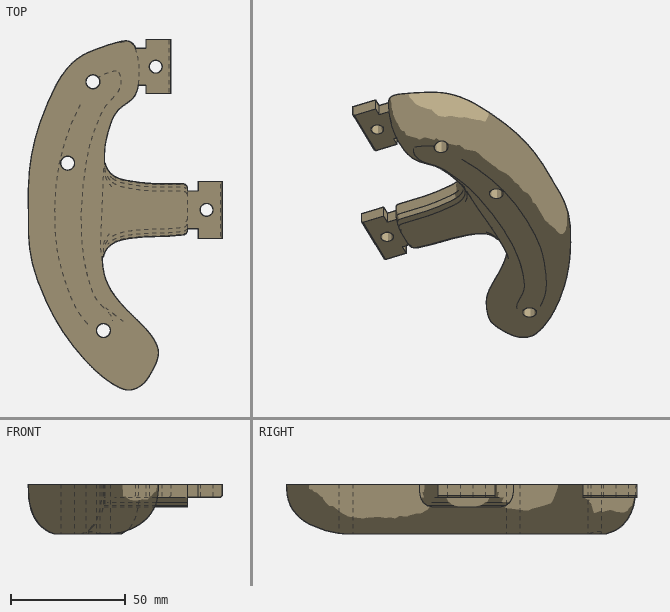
import cadquery as cq
import math

body_depth = 21.7
stem_depth = 9.8
tab_depth = 5.7

hull_power = 2.5
floor_scale = 0.35
hull_levels = 6
keel_center = (70.5, 0.0)
keel_radius = 95.0
keel_north_angle = math.radians(36)
keel_south_angle = math.radians(24)

crescent_outline = [
    (4.6, 72.7), (5.8, 56.5), (4.0, 51.6), (-3.0, 45.6), (-6.9, 37.8),
    (-8.9, 28.6), (-8.9, 19.9), (-9.5, 0.0), (-10.0, -19.9), (-8.9, -26.8),
    (-5.4, -34.1), (4.5, -45.2), (12.5, -54.4), (14.5, -59.7), (12.3, -67.4),
    (6.7, -74.7), (1.5, -76.5), (-4.0, -74.7), (-17.3, -63.7), (-28.6, -48.8),
    (-36.1, -34.1), (-41.2, -18.4), (-42.4, 0.0), (-41.8, 19.9), (-38.6, 36.0),
    (-33.0, 50.7), (-27.0, 61.9), (-19.3, 69.2), (-11.5, 72.7), (-2.8, 75.5), (2.3, 75.5),
]

stem_root_x = -19.9
stem_end_x = 27.3
stem_north_flank = [(-8.7, 22.5), (-4.5, 16.7), (1.7, 14.9), (12.7, 13.6), (25.0, 13.6)]
stem_south_flank = [(16.3, -8.9), (10.0, -9.6), (1.7, -10.4), (-5.8, -12.9), (-9.5, -18.4)]
stem_corner_radius = 2.3
stem_round_height = 6.5
stem_round_width = 5.4
stem_round_levels = 4

neck_overlap = 6.1
tab_chamfer = 0.8
tab_hole_diameter = 5.5
middle_tab = dict(neck_x=27.3, head_x=(31.9, 42.4), neck_y=(-6.1, 10.4), head_y=(-10.4, 14.5), hole=(35.5, 2.1))
north_tab = dict(neck_x=4.6, head_x=(9.0, 19.9), neck_y=(56.5, 72.7), head_y=(52.8, 76.5), hole=(13.3, 64.6))

body_hole_diameter = 6.0
body_holes = [(-14.1, 58.0), (-25.1, 22.5), (-9.5, -50.5)]


def nearest_keel_point(x, y):
    """Point of the keel arc that is closest in direction to (x, y)."""
    angle = math.atan2(y - keel_center[1], keel_center[0] - x)
    angle = max(-keel_south_angle, min(keel_north_angle, angle))
    return (
        keel_center[0] - keel_radius * math.cos(angle),
        keel_center[1] + keel_radius * math.sin(angle),
    )


def hull_section(scale):
    """Crescent outline drawn toward the keel by the given scale."""
    section = []
    for x, y in crescent_outline:
        keel_x, keel_y = nearest_keel_point(x, y)
        section.append((keel_x + scale * (x - keel_x), keel_y + scale * (y - keel_y)))
    return section


def make_crescent():
    """Loft of shrinking sections whose sides follow a superellipse."""
    wires = []
    floor_angle = math.acos(floor_scale ** (hull_power / 2))
    full_depth = body_depth / math.sin(floor_angle) ** (2 / hull_power)
    for level in range(hull_levels):
        angle = floor_angle * level / (hull_levels - 1)
        scale = math.cos(angle) ** (2 / hull_power)
        depth = full_depth * math.sin(angle) ** (2 / hull_power)
        sketch = cq.Workplane("XY", origin=(0, 0, -depth)).spline(hull_section(scale), periodic=True).close()
        wires.append(sketch.val())
    return cq.Workplane(obj=cq.Solid.makeLoft(wires))


def stem_section(depth, inset):
    """Horizontal stem section with both flanks moved inward by the inset."""
    north = [(x, y - inset) for x, y in stem_north_flank]
    south = [(x, y + inset) for x, y in stem_south_flank]
    north_y = north[-1][1]
    south_y = south[0][1]
    corner_x = stem_end_x - stem_corner_radius
    arc_mid_offset = stem_corner_radius * (1 - math.sqrt(0.5))
    arc_mid_x = stem_end_x - arc_mid_offset
    return (
        cq.Workplane("XY", origin=(0, 0, -depth))
        .moveTo(stem_root_x, north[0][1])
        .lineTo(*north[0])
        .spline(north[1:], includeCurrent=True)
        .threePointArc((arc_mid_x, north_y - arc_mid_offset), (stem_end_x, north_y - stem_corner_radius))
        .lineTo(stem_end_x, south_y + stem_corner_radius)
        .threePointArc((arc_mid_x, south_y + arc_mid_offset), (corner_x, south_y))
        .spline(south[1:], includeCurrent=True)
        .lineTo(stem_root_x, south[-1][1])
        .close()
        .val()
    )


def make_stem():
    """Arm with flared root and rounded lower flanks."""
    wires = [stem_section(0, 0)]
    for level in range(stem_round_levels + 1):
        angle = math.pi / 2 * level / stem_round_levels
        depth = stem_depth - stem_round_height * (1 - math.sin(angle))
        wires.append(stem_section(depth, stem_round_width * (1 - math.cos(angle))))
    return cq.Workplane(obj=cq.Solid.makeLoft(wires, True))


def slab(x_range, y_range):
    """Tab-thick rectangular plate below the top face."""
    length = x_range[1] - x_range[0]
    width = y_range[1] - y_range[0]
    return cq.Workplane("XY").box(length, width, tab_depth, centered=False).translate(
        (x_range[0], y_range[0], -tab_depth)
    )


def make_tab(neck_x, head_x, neck_y, head_y, hole):
    head = slab(head_x, head_y).edges(">X and <Z").chamfer(tab_chamfer)
    neck = slab((neck_x - neck_overlap, head_x[0]), neck_y)
    drill = cq.Workplane("XY").center(*hole).circle(tab_hole_diameter / 2).extrude(-tab_depth)
    return head.union(neck).cut(drill)


mounting_drills = (
    cq.Workplane("XY").pushPoints(body_holes).circle(body_hole_diameter / 2).extrude(-body_depth)
)

result = (
    make_crescent()
    .union(make_stem())
    .union(make_tab(**middle_tab))
    .union(make_tab(**north_tab))
    .cut(mounting_drills)
)